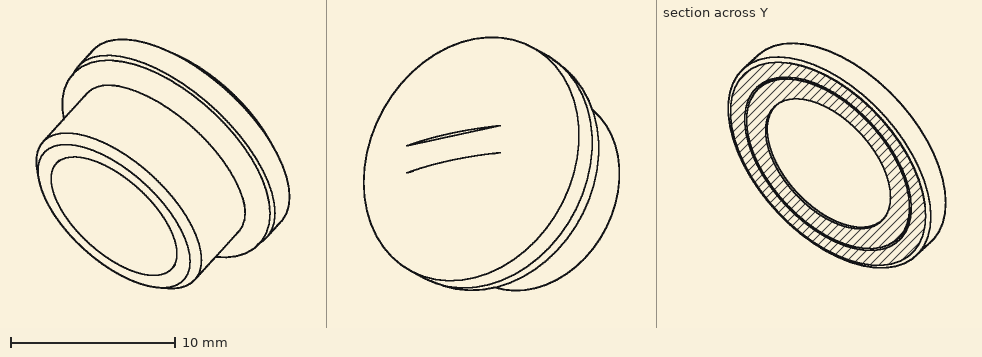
import cadquery as cq

flange_radius = 7.75
flange_thickness = 1.5
dome_height = 2.5
barrel_radius = 6.25
barrel_length = 6.0
barrel_chamfer = 0.5
bore_radius = 4.76
bore_depth = barrel_length

ring_tube_radius = 0.76
ring_outer_radius = 7.67
ring_edge_y = -1.41

slot_width = 1.75
slot_depth = 0.46

flange_top_y = flange_thickness
dome_top_y = flange_top_y + dome_height
barrel_end_y = -barrel_length
dome_radius = (flange_radius**2 + dome_height**2) / (2 * dome_height)


def make_body():
    """Domed flange and barrel as one turned solid."""
    dome_center_y = dome_top_y - dome_radius
    arc_mid_x = flange_radius / 2
    arc_mid_y = dome_center_y + (dome_radius**2 - arc_mid_x**2) ** 0.5
    profile = (
        cq.Workplane("XY")
        .moveTo(0, barrel_end_y)
        .lineTo(barrel_radius - barrel_chamfer, barrel_end_y)
        .lineTo(barrel_radius, barrel_end_y + barrel_chamfer)
        .lineTo(barrel_radius, 0)
        .lineTo(flange_radius, 0)
        .lineTo(flange_radius, flange_top_y)
        .threePointArc((arc_mid_x, arc_mid_y), (0, dome_top_y))
        .close()
    )
    return profile.revolve(360, (0, 0), (0, 1))


def make_ring():
    """Round-section ring around the barrel, its seam hidden inside the barrel wall."""
    center_radius = ring_outer_radius - ring_tube_radius
    center_y = ring_edge_y + ring_tube_radius
    return (
        cq.Workplane("XY", origin=(center_radius, center_y, 0))
        .transformed(rotate=(0, 0, 180))
        .circle(ring_tube_radius)
        .revolve(360, (center_radius, 0), (center_radius, 1))
    )


def make_bore():
    """Blind bore from the open end of the barrel."""
    return (
        cq.Workplane("XZ", origin=(0, barrel_end_y, 0))
        .circle(bore_radius)
        .extrude(-bore_depth)
    )


def make_slot():
    """Slot along X, cut down from the dome apex."""
    return (
        cq.Workplane("XY", origin=(0, dome_top_y, 0))
        .box(2 * flange_radius, 2 * slot_depth, slot_width)
    )


result = make_body().union(make_ring()).cut(make_bore()).cut(make_slot())